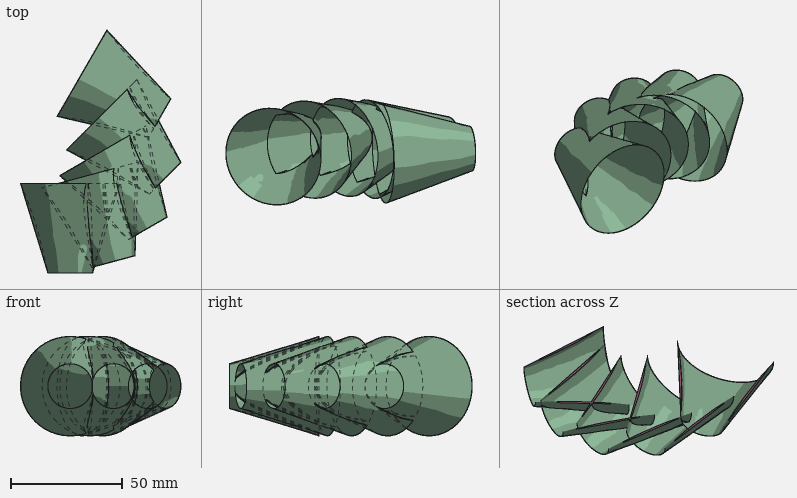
import cadquery as cq
import math

cup_count = 5
turn_step = 15
offset_step = 20.0

cup_length = 40.1
tip_radius = 10.0
flare = 0.8
mouth_radius = tip_radius * math.exp(flare)
bore_segments = 4


def revolved(side):
    """Solid of revolution about Y from (radius, y) points listed from tip to mouth."""
    profile = [(0, 0)] + side + [(0, cup_length)]
    return cq.Workplane("XY").polyline(profile).close().revolve(360, (0, 0, 0), (0, 1, 0))


def bore_point(fraction):
    """Point on the exponential bore at a fraction of the length from the tip."""
    return (tip_radius * math.exp(flare * fraction), cup_length * fraction)


def cup():
    """Conical cup on the Y axis, opening toward +Y and open at both ends."""
    outside = revolved([(tip_radius, 0), (mouth_radius, cup_length)])
    bore = revolved([bore_point(i / bore_segments) for i in range(bore_segments + 1)])
    return outside.cut(bore)


def placed_cup(index):
    """Cup moved out along X, then swung about the Z axis."""
    moved = cup().translate((index * offset_step, 0, 0))
    return moved.rotate((0, 0, 0), (0, 0, 1), index * turn_step)


result = placed_cup(0)
for cup_index in range(1, cup_count):
    result = result.union(placed_cup(cup_index))